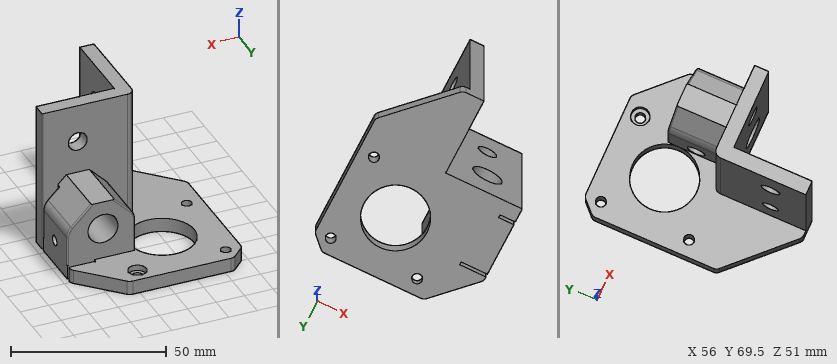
import cadquery as cq

length_x = 56.0
length_y = 69.5
height = 51.0
thickness = 5.0
corner_radius = 2.5
front_chamfer = 21.0
back_left_chamfer = 5.0
back_right_chamfer = 14.45

wall_left = 23.5
wall_back = 32.5
wall_right = wall_left + thickness
wall_front = wall_back - thickness
end_radius = 0.3

screw_inset = 5.5
screw_spacing = 31.0
screw_diameter = 3.5
screw_head_diameter = 6.2
plate_head_depth = 2.0
motor_x = screw_inset + screw_spacing / 2
motor_y = length_y - motor_x
motor_bore = 22.5

block_left = 32.25
block_depth = 20.0
block_back = wall_back + block_depth
block_top = 26.0
block_left_chamfer = 7.2
block_right_chamfer = 8.5
block_radius = 5.0
block_edge_radius = 0.5
clamp_screw_y = 42.45
clamp_screw_z = 8.9
clamp_head_depth = 3.0

slot_width = 1.05
back_slot_left = 46.55
front_slot_left = 50.5

upper_bore_z = 37.5
lower_bore_z = 16.0
upper_bore = 6.5
side_lower_bore = 5.55
rod_bore = 10.5
rod_x = 43.5
side_bore_y = 12.45


def box(x0, x1, y0, y1, z1):
    """Box standing on the bottom plane."""
    return cq.Workplane("XY").box(x1 - x0, y1 - y0, z1, centered=False).translate((x0, y0, 0))


def cylinder(start, direction, diameter, depth):
    """Cylinder running from a start point along a direction."""
    return cq.Workplane(
        cq.Solid.makeCylinder(diameter / 2, depth, cq.Vector(*start), cq.Vector(*direction))
    )


def make_plate():
    outline = [
        (front_chamfer, 0),
        (wall_right, 0),
        (wall_right, wall_front),
        (length_x, wall_front),
        (length_x, length_y - back_right_chamfer),
        (length_x - back_right_chamfer, length_y),
        (back_left_chamfer, length_y),
        (0, length_y - back_left_chamfer),
        (0, front_chamfer),
    ]
    plate = cq.Workplane("XY").polyline(outline).close().extrude(thickness)
    rounded = [(x, y) for x, y in outline if x < wall_right or y > wall_back]
    for x, y in rounded:
        plate = plate.edges(cq.NearestToPointSelector((x, y, thickness / 2))).fillet(corner_radius)
    for left, front in ((front_slot_left, wall_back), (back_slot_left, block_back)):
        plate = plate.cut(box(left, length_x, front, front + slot_width, thickness))
    for y in (wall_front, wall_back, block_back + slot_width):
        end_corner = (length_x, y, thickness / 2)
        plate = plate.edges(cq.NearestToPointSelector(end_corner)).fillet(end_radius)
    return plate


def make_wall():
    side_wall = box(wall_left, wall_right, 0, wall_back, height)
    back_wall = box(wall_left, length_x, wall_front, wall_back, height)
    wall = side_wall.union(back_wall).edges("|Z and <X and >Y").fillet(corner_radius)
    return wall.edges("|Z and >X").fillet(end_radius)


def make_block():
    block = (
        cq.Workplane("XZ", origin=(0, block_back, 0))
        .moveTo(block_left, 0)
        .lineTo(block_left, block_top - block_left_chamfer)
        .lineTo(block_left + block_left_chamfer, block_top)
        .lineTo(length_x - block_right_chamfer, block_top)
        .lineTo(length_x, block_top - block_right_chamfer)
        .lineTo(length_x, 0)
        .close()
        .extrude(block_depth)
    )
    for x, chamfer in ((block_left, block_left_chamfer), (length_x, block_right_chamfer)):
        shoulder = (x, wall_back + block_depth / 2, block_top - chamfer)
        block = block.edges(cq.NearestToPointSelector(shoulder)).fillet(block_radius)
    block = block.cut(box(front_slot_left, length_x, wall_back, wall_back + slot_width, block_top))
    block = block.cut(box(0, length_x, 0, length_y, thickness))
    slot_face_y = wall_back + slot_width
    margin = 0.1
    for y in (block_back, slot_face_y):
        face_edges = cq.selectors.BoxSelector(
            (0, y - margin, thickness + margin),
            (block_left + block_left_chamfer, y + margin, block_top - margin),
        ) + cq.selectors.BoxSelector(
            (front_slot_left + margin, y - margin, thickness + margin),
            (length_x + margin, y + margin, block_top - margin),
        )
        block = block.edges(face_edges).fillet(block_edge_radius)
    return block


def cut_plate_features(body):
    body = body.cut(cylinder((motor_x, motor_y, 0), (0, 0, 1), motor_bore, thickness))
    left = screw_inset
    right = screw_inset + screw_spacing
    back = length_y - screw_inset
    front = back - screw_spacing
    for x, y in ((left, front), (left, back), (right, back)):
        body = body.cut(cylinder((x, y, 0), (0, 0, 1), screw_diameter, thickness))
    head_start = (right, back, thickness)
    return body.cut(cylinder(head_start, (0, 0, -1), screw_head_diameter, plate_head_depth))


def cut_wall_bores(body):
    for z, diameter in ((upper_bore_z, upper_bore), (lower_bore_z, side_lower_bore)):
        body = body.cut(cylinder((wall_left, side_bore_y, z), (1, 0, 0), diameter, thickness))
    body = body.cut(cylinder((rod_x, wall_front, upper_bore_z), (0, 1, 0), upper_bore, thickness))
    rod_depth = block_back - wall_front
    return body.cut(cylinder((rod_x, wall_front, lower_bore_z), (0, 1, 0), rod_bore, rod_depth))


def cut_clamp_screw(body):
    start = (block_left, clamp_screw_y, clamp_screw_z)
    body = body.cut(cylinder(start, (1, 0, 0), screw_diameter, length_x - block_left))
    return body.cut(cylinder(start, (1, 0, 0), screw_head_diameter, clamp_head_depth))


bracket = make_plate().union(make_wall()).union(make_block())
bracket = cut_plate_features(bracket)
bracket = cut_wall_bores(bracket)
result = cut_clamp_screw(bracket)